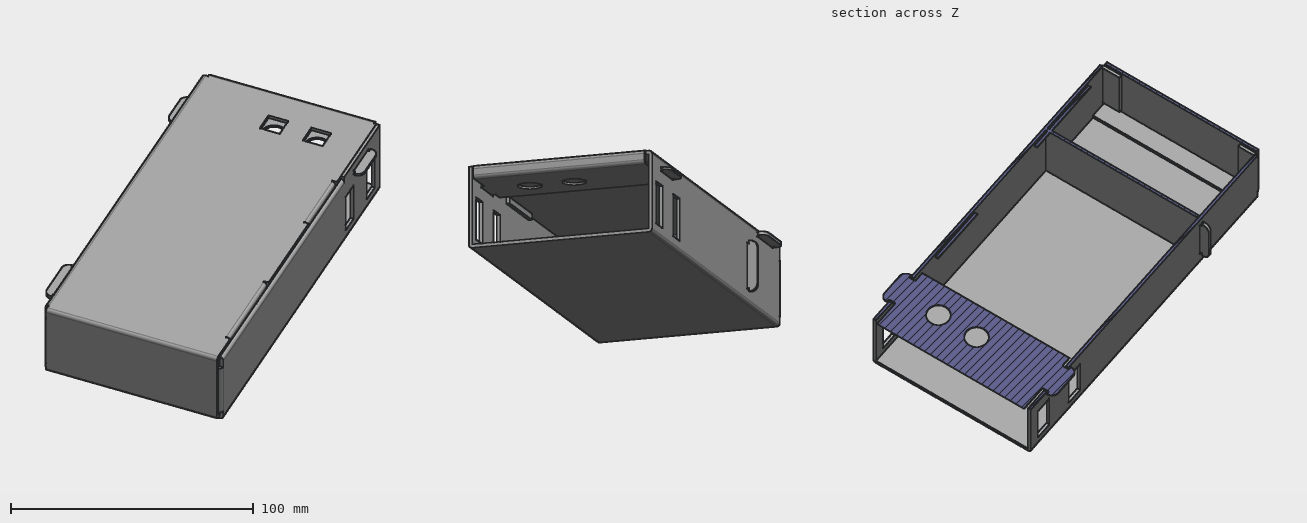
import cadquery as cq

overall_width = 88.0
box_width = 80.0
length = 165.2
height = 34.7

sheet = 1.5
shelf_sheet = 1.0
bend_radius = 1.45
clearance = 0.5
seam = 0.08

outer_x = box_width / 2
inner_x = outer_x - sheet
front_y = -length / 2
back_y = length / 2
wrap_front_y = front_y + 2 * sheet
wrap_back_y = back_y - sheet - clearance
lid_under_z = height - sheet
liner_under_z = lid_under_z - sheet

lip_front_y = 44.3

notch_spans = [(40.3, 11.2), (-29.7, -68.9)]
notch_depth = 2.1
notch_x = inner_x - notch_depth
tongue_drop = 5.6

flange_reach = 9.9
flange_bottom_z = 4.3
flange_top_gap = 6.6
flange_top_z = height - flange_top_gap

foot_length = 9.9

shelf_width = 74.7
shelf_front_y = 49.5
shelf_drop = 5.6
shelf_under_z = height - shelf_drop
shelf_mid_z = shelf_under_z + shelf_sheet / 2

lid_window_xs = [0.0, 19.3]
lid_window_y = 63.3
lid_window_size = 9.0
shelf_hole_diameter = 10.0
wall_window_ys = [71.5, 49.7]
wall_window_width = 8.1
wall_window_bottom_z = 4.8
wall_window_height = 18.0
wall_window_top_z = wall_window_bottom_z + wall_window_height

hook_reach = (overall_width - box_width) / 2
hook_corner_radius = 3.1
slot_shortening = 1.8
short_hook = 17.0
long_hook = 21.6
shelf_hook_y = 61.6
liner_hook_y = -61.5
divider_y = -40.1
divider_hook_z = 15.7


def block(x_from, x_to, y_from, y_to, z_from, z_to):
    """Box between two opposite corners."""
    size = (x_to - x_from, y_to - y_from, z_to - z_from)
    return cq.Workplane("XY").box(*size, centered=False).translate((x_from, y_from, z_from))


def wrap():
    """Lid, left wall, floor and right wall folded from one strip around the Y axis."""
    outer = block(-outer_x, outer_x, wrap_front_y, wrap_back_y, 0, height)
    outer = outer.edges("|Y and (<X or <Z)").fillet(bend_radius)
    tube = outer.cut(block(-inner_x, inner_x, wrap_front_y, wrap_back_y, sheet, lid_under_z))
    lowered = block(inner_x, outer_x, wrap_front_y, lip_front_y, liner_under_z, height)
    joint = block(inner_x - seam, inner_x, lip_front_y, wrap_back_y, lid_under_z, height)
    return tube.cut(lowered).cut(joint)


def liner():
    """Flange folded in from the right wall, lying against the underside of the lid."""
    plate = block(clearance - inner_x, outer_x, wrap_front_y, lip_front_y, liner_under_z, lid_under_z)
    return plate.edges("|Y and >X and >Z").fillet(bend_radius)


def front_panel():
    """Panel folded down from the lid, with a foot folded back over the floor."""
    top = block(-inner_x, inner_x, front_y, wrap_front_y, sheet, height)
    foot = block(-inner_x, inner_x, front_y, front_y + foot_length, sheet, 2 * sheet)
    hollow = block(-inner_x, inner_x, front_y + sheet, wrap_front_y, 2 * sheet, lid_under_z)
    return top.cut(hollow).union(foot).edges("|X and <Y").fillet(bend_radius)


def corner_flange(side):
    """Flange folded inward from the front end of a side wall (side is -1 or 1)."""
    wall_x = side * outer_x
    tip_x = side * (outer_x - flange_reach)
    flange = block(
        min(wall_x, tip_x), max(wall_x, tip_x),
        front_y + sheet, wrap_front_y,
        flange_bottom_z, flange_top_z,
    )
    outer_edge = "|Z and <Y and >X" if side > 0 else "|Z and <Y and <X"
    return flange.edges(outer_edge).fillet(bend_radius)


def back_shelf():
    """Back flange folded down from the lid and forward again into a shelf."""
    half = shelf_width / 2
    body = block(-half, half, shelf_front_y, back_y, shelf_under_z, height)
    body = body.edges("|X and >Y").fillet(bend_radius)
    gap_bottom_z = shelf_under_z + shelf_sheet
    return body.cut(block(-half, half, shelf_front_y, back_y - sheet, gap_bottom_z, lid_under_z))


def divider():
    """Upright partition between the floor and the liner."""
    half_sheet = sheet / 2
    return block(
        clearance - inner_x, inner_x,
        divider_y - half_sheet, divider_y + half_sheet,
        sheet, liner_under_z,
    )


def hook(hook_length, thickness, root_x):
    """Flat hook in the XY plane pointing to +X, with its neck reaching in to root_x."""
    head_x = outer_x + clearance
    tip_x = outer_x + hook_reach
    half = hook_length / 2
    half_neck = (hook_length - slot_shortening) / 2 - clearance
    half_thickness = thickness / 2
    head = block(head_x, tip_x, -half, half, -half_thickness, half_thickness)
    head = head.edges("|Z and >X").fillet(hook_corner_radius)
    return head.union(block(root_x, head_x, -half_neck, half_neck, -half_thickness, half_thickness))


def hook_slot(hook_length, thickness):
    """Wall opening around a hook made by hook()."""
    half = (hook_length - slot_shortening) / 2
    half_thickness = thickness / 2 + clearance
    return block(inner_x, outer_x, -half, half, -half_thickness, half_thickness)


def to_left(shape):
    """Mirrors a hook or slot to the left wall."""
    return shape.mirror("YZ")


def on_edge(shape):
    """Turns a flat hook or slot upright."""
    return shape.rotate((0, 0, 0), (1, 0, 0), 90)


box = wrap().union(liner()).union(front_panel())
for side in (-1, 1):
    box = box.union(corner_flange(side))

for back_end, front_end in notch_spans:
    box = box.cut(block(notch_x, inner_x, front_end, back_end, liner_under_z, height))
    tongue = block(
        notch_x, notch_x + sheet,
        front_end + clearance, back_end - clearance,
        height - tongue_drop, height,
    )
    box = box.union(tongue.edges("|Y and >X and >Z").fillet(bend_radius))

shelf = back_shelf()
for x in lid_window_xs:
    drill = cq.Workplane("XY").circle(shelf_hole_diameter / 2).extrude(shelf_sheet)
    shelf = shelf.cut(drill.translate((x, lid_window_y, shelf_under_z)))
box = box.union(shelf).union(divider())

for x in lid_window_xs:
    window = block(0, lid_window_size, 0, lid_window_size, lid_under_z, height)
    box = box.cut(window.translate((x - lid_window_size / 2, lid_window_y - lid_window_size / 2, 0)))
for y in wall_window_ys:
    half = wall_window_width / 2
    window = block(-outer_x, outer_x, y - half, y + half, wall_window_bottom_z, wall_window_top_z)
    box = box.cut(window)

shelf_place = (0, shelf_hook_y, shelf_mid_z)
liner_place = (0, liner_hook_y, lid_under_z - sheet / 2)
divider_place = (0, divider_y, divider_hook_z)

shelf_slot = hook_slot(short_hook, shelf_sheet)
liner_slot = to_left(hook_slot(long_hook, sheet)).translate(liner_place)
fold = block(-outer_x, -inner_x, wrap_front_y, wrap_back_y, lid_under_z, height)
divider_slot = on_edge(to_left(hook_slot(long_hook, sheet)))
box = box.cut(shelf_slot.translate(shelf_place)).cut(to_left(shelf_slot).translate(shelf_place))
box = box.cut(liner_slot.cut(fold)).cut(divider_slot.translate(divider_place))

shelf_root_x = shelf_width / 2 - sheet
shelf_hook = hook(short_hook, shelf_sheet, shelf_root_x)
plate_root_x = inner_x - 2 * clearance
plate_hook = to_left(hook(long_hook, sheet, plate_root_x))
box = box.union(shelf_hook.translate(shelf_place)).union(to_left(shelf_hook).translate(shelf_place))
box = box.union(plate_hook.translate(liner_place))
box = box.union(on_edge(plate_hook).translate(divider_place))

result = box